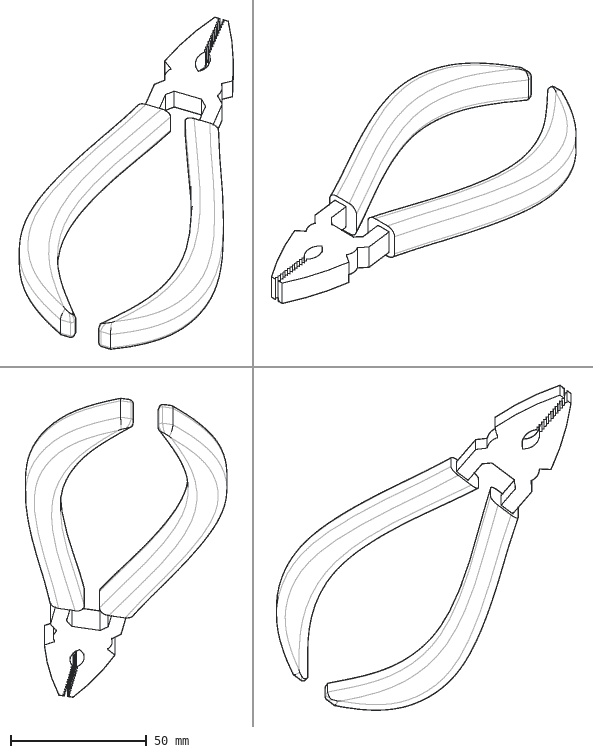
import cadquery as cq


HEAD_THICKNESS = 10.0
GRIP_THICKNESS = 15.0

OVERALL_LENGTH = 147.9
JAW_TIP_Y = 30.3
GRIP_TOP_Y = -17.2
GRIP_END_Y = JAW_TIP_Y - OVERALL_LENGTH

JAW_TIP_HALF_WIDTH = 2.7
JAW_HEEL = (13.3, 5.3)
JAW_FLANK_MID = (9.3, 17.0)
JAW_GAP = 1.2
TOOTH_PITCH = 1.3
TOOTH_DEPTH = 0.6
TOOTH_COUNT = 12

OPENING_TOP_Y = JAW_TIP_Y - TOOTH_COUNT * TOOTH_PITCH
OPENING_BOTTOM_Y = 5.2
OPENING_WIDTH = 5.0

SHOULDER_RADIUS = 11.0
SHOULDER_TOP = (9.9, 2.8)
SHOULDER_BOTTOM = (10.4, -2.8)
ARM_HALF_SPAN = JAW_HEEL[0]
ARM_SHOULDER_Y = -5.9
ARM_WIDTH = 5.5
CROTCH_Y = -6.4
CROTCH_CHAMFER = 2.5

GRIP_ROUNDING = 3.3
GRIP_OUTER_CURVE = [
    (16.0, GRIP_TOP_Y),
    (25.1, -39.0),
    (33.1, -59.8),
    (36.8, -84.5),
    (30.3, -101.8),
    (11.2, -116.9),
    (7.4, -118.8),
]
GRIP_INNER_CURVE = [
    (2.8, GRIP_TOP_Y),
    (12.3, -38.5),
    (20.0, -58.5),
    (23.1, -78.4),
    (19.0, -95.0),
    (5.5, -114.2),
    (1.8, -118.8),
]
GRIP_END_INNER_X = 4.9
GRIP_END_ROUNDING = 1.2

BLANK_INNER_X = -3.0
BLANK_OUTER_X = 51.8


def half_head():
    """The +X half of the head, with its teeth, half opening and arm."""
    tooth_x = JAW_GAP / 2
    inner_x = ARM_HALF_SPAN - ARM_WIDTH
    outline = (
        cq.Workplane("XY", origin=(0, 0, -HEAD_THICKNESS / 2))
        .moveTo(tooth_x, JAW_TIP_Y)
        .lineTo(JAW_TIP_HALF_WIDTH, JAW_TIP_Y)
        .threePointArc(JAW_FLANK_MID, JAW_HEEL)
        .lineTo(*SHOULDER_TOP)
        .threePointArc((SHOULDER_RADIUS, 0), SHOULDER_BOTTOM)
        .lineTo(ARM_HALF_SPAN, ARM_SHOULDER_Y)
        .lineTo(ARM_HALF_SPAN, GRIP_TOP_Y)
        .lineTo(inner_x, GRIP_TOP_Y)
        .lineTo(inner_x, CROTCH_Y - CROTCH_CHAMFER)
        .lineTo(inner_x - CROTCH_CHAMFER, CROTCH_Y)
        .lineTo(0, CROTCH_Y)
        .lineTo(0, OPENING_BOTTOM_Y)
        .threePointArc(
            (OPENING_WIDTH / 2, (OPENING_TOP_Y + OPENING_BOTTOM_Y) / 2),
            (tooth_x, OPENING_TOP_Y),
        )
    )
    for tooth in range(TOOTH_COUNT):
        crest_y = OPENING_TOP_Y + tooth * TOOTH_PITCH
        outline = outline.lineTo(tooth_x + TOOTH_DEPTH, crest_y + TOOTH_PITCH / 2)
        outline = outline.lineTo(tooth_x, crest_y + TOOTH_PITCH)
    return outline.close().extrude(HEAD_THICKNESS)


def make_head():
    """Jaws, pivot block and arms in one piece."""
    half = half_head()
    return half.union(half.mirror("YZ"))


def side_blank(curve, far_x):
    """A plate bounded by a side curve and a straight edge at far_x, rounded along the curve."""
    plate = (
        cq.Workplane("XY", origin=(0, 0, -GRIP_THICKNESS / 2))
        .moveTo(*curve[0])
        .spline(curve[1:], includeCurrent=True)
        .lineTo(far_x, curve[-1][1])
        .lineTo(far_x, GRIP_TOP_Y)
        .close()
        .extrude(GRIP_THICKNESS)
    )
    return plate.faces("|Z").edges("%BSPLINE").fillet(GRIP_ROUNDING)


def end_blank():
    """A tapered block whose rounded inner and lower edges close off the lower end of the grip."""
    block = (
        cq.Workplane("XY", origin=(0, 0, -GRIP_THICKNESS / 2))
        .moveTo(GRIP_END_INNER_X, GRIP_END_Y)
        .lineTo(BLANK_OUTER_X, GRIP_END_Y)
        .lineTo(BLANK_OUTER_X, GRIP_TOP_Y)
        .lineTo(BLANK_INNER_X, GRIP_TOP_Y)
        .close()
        .extrude(GRIP_THICKNESS)
    )
    corner = cq.selectors.NearestToPointSelector((GRIP_END_INNER_X, GRIP_END_Y, 0))
    block = block.faces("<X or <Y").edges("not |Z").fillet(GRIP_ROUNDING)
    return block.edges(corner).fillet(GRIP_END_ROUNDING)


def make_grip():
    """The +X grip: what the two side blanks and the end block have in common."""
    outer_blank = side_blank(GRIP_OUTER_CURVE, BLANK_INNER_X)
    inner_blank = side_blank(GRIP_INNER_CURVE, BLANK_OUTER_X)
    return outer_blank.intersect(inner_blank).intersect(end_blank())


head = make_head()
right_grip = make_grip()
left_grip = right_grip.mirror("YZ")

result = cq.Compound.makeCompound([head.val(), right_grip.val(), left_grip.val()])